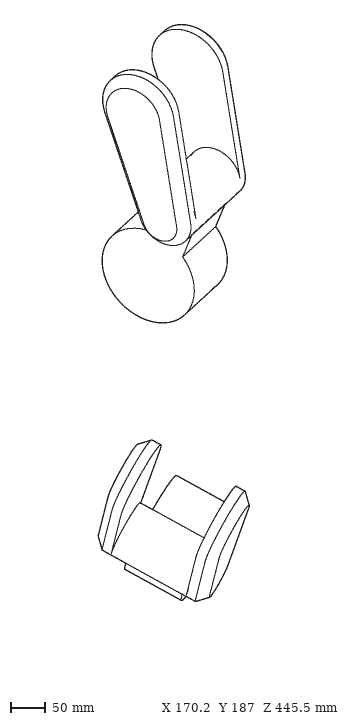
import cadquery as cq
import math

disc_radius = 79.0
disc_width = 95.5

pin_x = 47.2
pin_z = 132.0
pin_radius = 44.0

upper_x = 1.5
upper_radius = 61.0
overall_height = 445.5
upper_z = overall_height - disc_radius - upper_radius
overall_width = 187.0
plate_thickness = 30.5
plate_chamfer = 15.0

neck_width = 67.7
neck_offset = 4.0


def extrude_centred(profile, width):
    """Extrude an XZ profile into a solid centred on the plane Y = 0."""
    return profile.extrude(width).translate((0, width / 2, 0))


def make_disc():
    return extrude_centred(cq.Workplane("XZ").circle(disc_radius), disc_width)


def make_pin():
    """Cylinder that runs through both plates up to where their chamfers start."""
    profile = cq.Workplane("XZ").center(pin_x, pin_z).circle(pin_radius)
    return extrude_centred(profile, overall_width - 2 * plate_chamfer)


def make_neck():
    length = math.hypot(pin_x, pin_z)
    lean = math.degrees(math.atan2(pin_x, pin_z))
    profile = cq.Workplane("XZ").center(neck_offset, length / 2).rect(neck_width, length)
    upright = extrude_centred(profile, disc_width)
    return upright.rotate((0, 0, 0), (0, 1, 0), lean)


def make_front_plate():
    """Two end arcs joined by their common tangents, chamfered on the outer face."""
    axis_x = upper_x - pin_x
    axis_z = upper_z - pin_z
    axis_angle = math.atan2(axis_z, axis_x)
    tangent_angle = math.acos((pin_radius - upper_radius) / math.hypot(axis_x, axis_z))

    def on_pin(angle):
        return pin_x + pin_radius * math.cos(angle), pin_z + pin_radius * math.sin(angle)

    def on_upper(angle):
        return upper_x + upper_radius * math.cos(angle), upper_z + upper_radius * math.sin(angle)

    right = axis_angle - tangent_angle
    left = axis_angle + tangent_angle
    return (
        cq.Workplane("XZ", origin=(0, plate_thickness - overall_width / 2, 0))
        .moveTo(*on_pin(right))
        .lineTo(*on_upper(right))
        .threePointArc(on_upper(axis_angle), on_upper(left))
        .lineTo(*on_pin(left))
        .threePointArc(on_pin(axis_angle + math.pi), on_pin(right))
        .close()
        .extrude(plate_thickness)
        .faces("<Y")
        .chamfer(plate_chamfer)
    )


front_plate = make_front_plate()
back_plate = front_plate.mirror("XZ")
fork = make_pin().union(front_plate).union(back_plate)
result = fork.union(make_disc().union(make_neck()))